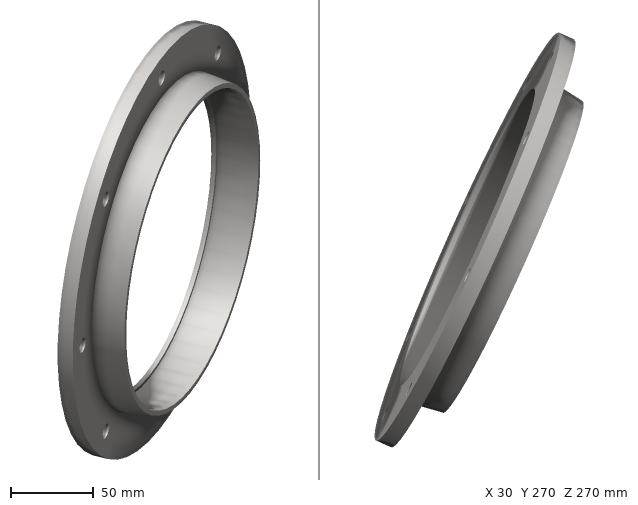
import cadquery as cq

flange_diameter = 270.0
flange_thickness = 10.0
total_length = 30.0
hub_root_diameter = 212.0
hub_end_diameter = 206.3
lip_bore_diameter = 196.0
lip_thickness = 3.0
main_bore_diameter = 200.0
bolt_circle_diameter = 240.0
bolt_hole_diameter = 9.5
bolt_hole_count = 8


def ring_body():
    """Flange with a tapered hub and a thin lip at the bore mouth, revolved about the X axis."""
    profile = [
        (0, lip_bore_diameter / 2),
        (0, flange_diameter / 2),
        (flange_thickness, flange_diameter / 2),
        (flange_thickness, hub_root_diameter / 2),
        (total_length, hub_end_diameter / 2),
        (total_length, main_bore_diameter / 2),
        (lip_thickness, main_bore_diameter / 2),
        (lip_thickness, lip_bore_diameter / 2),
    ]
    return cq.Workplane("XY").polyline(profile).close().revolve(360, (0, 0, 0), (1, 0, 0))


def bolt_holes():
    """Cutters for the evenly spaced holes through the flange."""
    return (
        cq.Workplane("YZ")
        .polarArray(bolt_circle_diameter / 2, 0, 360, bolt_hole_count)
        .circle(bolt_hole_diameter / 2)
        .extrude(flange_thickness)
    )


result = ring_body().cut(bolt_holes())